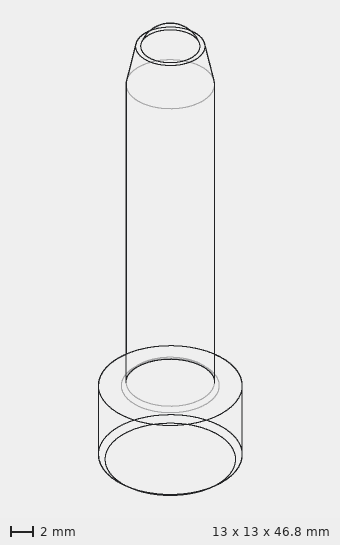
import cadquery as cq
import math

total_length = 46.75
head_diameter = 13.0
head_height = 8.0
head_chamfer_width = 0.6
head_chamfer_height = 0.5
shank_diameter = 8.0
neck_fillet = 0.4

taper_start = 40.65
taper_end = 44.8
taper_end_diameter = 6.25
ball_radius = 2.8

head_radius = head_diameter / 2
shank_radius = shank_diameter / 2
taper_end_radius = taper_end_diameter / 2
ball_center = total_length - ball_radius


def make_pin():
    """Revolve the head, filleted neck, shank and tapered end as one half profile."""
    fillet_center_r = shank_radius + neck_fillet
    fillet_center_z = head_height + neck_fillet
    fillet_mid_offset = neck_fillet * math.sqrt(0.5)
    profile = (
        cq.Workplane("XZ")
        .lineTo(head_radius - head_chamfer_width, 0)
        .lineTo(head_radius, head_chamfer_height)
        .lineTo(head_radius, head_height)
        .lineTo(fillet_center_r, head_height)
        .threePointArc(
            (fillet_center_r - fillet_mid_offset, fillet_center_z - fillet_mid_offset),
            (shank_radius, fillet_center_z),
        )
        .lineTo(shank_radius, taper_start)
        .lineTo(taper_end_radius, taper_end)
        .lineTo(0, taper_end)
        .close()
    )
    return profile.revolve(360, (0, 0, 0), (0, 1, 0))


def make_ball():
    """Ball seated in the tapered end, its top at the full length."""
    return cq.Workplane("XY").sphere(ball_radius).translate((0, 0, ball_center))


result = make_pin().union(make_ball())